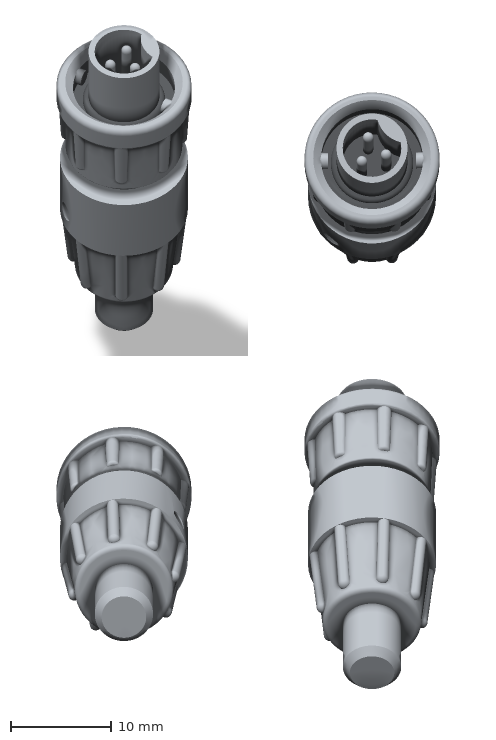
import cadquery as cq
import math

total_height = 39.45
cable_tip_height = 0.85
rear_grip_bottom = 7.04
sleeve_bottom = 15.95
sleeve_top = 23.57
front_grip_bottom = 25.29
collar_bottom = 32.28
collar_top = 34.88

cable_radius = 2.92
cable_tip_radius = 2.23
rear_grip_end_radius = 4.86
rear_grip_top_radius = 5.74
sleeve_radius = 6.4
neck_radius = 4.3
front_grip_end_radius = 5.84
front_grip_top_radius = 6.03
collar_radius = 6.755
plug_radius = 3.55

rear_grip_round = 0.5
front_grip_round = 0.15
collar_top_round = 0.55
collar_bottom_round = 0.25

recess_depth = 2.65
recess_radius = 5.1
recess_mouth_radius = 5.88
recess_floor = collar_top - recess_depth
foot_radius = 4.12
foot_height = 0.6
foot_round = foot_radius - plug_radius

peg_radius = 0.8
peg_inner_reach = 4.4
peg_axis_depth = 1.5
peg_axis_height = collar_top - peg_axis_depth
peg_embed = 0.5
peg_angles = (45, 225)

socket_radius = 2.93
socket_floor = recess_floor
key_radius = 3.13
key_tip_y = 1.99
pin_radius = 0.52
pin_circle_radius = 1.45
pin_tip_depth = 0.9
pin_tip_height = total_height - pin_tip_depth
pin_angles = (30, 150, 270)

rib_count = 8
rib_pitch = 360 / rib_count
rib_embed = 0.3
rear_rib_radius = 0.6
rear_rib_end_height = 8.55
rear_rib_top_offset = 5.78
rear_rib_end_offset = 5.05
front_rib_top_radius = 0.76
front_rib_end_radius = 0.65
front_rib_end_height = 26.82
front_rib_end_round = 0.33
front_rib_top_offset = 5.85
front_rib_end_offset = 5.66

hole_radius = 1.0
hole_depth = 0.8
hole_x = 0.43
hole_height = 18.33


def disc(bottom, top, radius):
    return cq.Workplane("XY", origin=(0, 0, bottom)).circle(radius).extrude(top - bottom)


def cone(bottom, top, bottom_radius, top_radius):
    cone_solid = cq.Solid.makeCone(bottom_radius, top_radius, top - bottom, cq.Vector(0, 0, bottom))
    return cq.Workplane(cone_solid)


def make_body():
    cable_tip = cone(0, cable_tip_height, cable_tip_radius, cable_radius)
    cable = disc(cable_tip_height, rear_grip_bottom, cable_radius)
    rear_grip = cone(rear_grip_bottom, sleeve_bottom, rear_grip_end_radius, rear_grip_top_radius)
    rear_grip = rear_grip.faces("<Z").edges().fillet(rear_grip_round)
    sleeve = disc(sleeve_bottom, sleeve_top, sleeve_radius)
    neck = disc(sleeve_top, front_grip_bottom, neck_radius)
    front_grip = cone(front_grip_bottom, collar_bottom, front_grip_end_radius, front_grip_top_radius)
    front_grip = front_grip.faces("<Z").edges().fillet(front_grip_round)
    collar = disc(collar_bottom, collar_top, collar_radius)
    collar = collar.faces(">Z").edges().fillet(collar_top_round)
    collar = collar.faces("<Z").edges().fillet(collar_bottom_round)
    body = cable_tip
    for section in (cable, rear_grip, sleeve, neck, front_grip, collar):
        body = body.union(section)
    return body


def make_rib(top_height, top_offset, top_radius, end_height, end_offset, end_radius, end_round):
    """Tapered round rib in the XZ plane, running down from top_height to a rounded end."""
    axis = cq.Vector(end_offset - top_offset, 0, end_height - top_height)
    length = axis.Length
    diagonal = end_round * math.cos(math.radians(45))
    shoulder = end_radius - end_round
    plane_normal = axis.cross(cq.Vector(0, -1, 0))
    profile_plane = cq.Plane((top_offset, 0, top_height), xDir=(0, 1, 0), normal=plane_normal)
    profile = (
        cq.Workplane(profile_plane)
        .lineTo(top_radius, 0)
        .lineTo(end_radius, length)
        .threePointArc((shoulder + diagonal, length + diagonal), (shoulder, length + end_round))
    )
    if shoulder > 0:
        profile = profile.lineTo(0, length + end_round)
    return profile.close().revolve(360, (0, 0), (0, 1))


def add_ribs(body, rib):
    for index in range(rib_count):
        body = body.union(rib.rotate((0, 0, 0), (0, 0, 1), rib_pitch * (index + 0.5)))
    return body


def cut_recess(body):
    mouth_depth = recess_mouth_radius - recess_radius
    mouth = cone(collar_top - mouth_depth, collar_top, recess_radius, recess_mouth_radius)
    return body.cut(disc(recess_floor, collar_top, recess_radius)).cut(mouth)


def add_pegs(body):
    length = recess_radius + peg_embed - peg_inner_reach
    peg = (
        cq.Workplane("YZ", origin=(peg_inner_reach, 0, peg_axis_height))
        .circle(peg_radius)
        .extrude(length)
    )
    for angle in peg_angles:
        body = body.union(peg.rotate((0, 0, 0), (0, 0, 1), angle))
    return body


def make_plug():
    foot = disc(recess_floor, recess_floor + foot_height, foot_radius)
    foot = foot.faces(">Z").edges().fillet(foot_round)
    plug = foot.union(disc(recess_floor, total_height, plug_radius))
    key = disc(socket_floor, total_height, key_radius).translate((0, key_tip_y + key_radius, 0))
    return plug.cut(disc(socket_floor, total_height, socket_radius).cut(key))


def add_pins(body):
    pin = disc(socket_floor, pin_tip_height - pin_radius, pin_radius)
    tip = cq.Workplane("XY", origin=(0, 0, pin_tip_height - pin_radius)).sphere(pin_radius)
    pin = pin.union(tip).translate((pin_circle_radius, 0, 0))
    for angle in pin_angles:
        body = body.union(pin.rotate((0, 0, 0), (0, 0, 1), angle))
    return body


def cut_sleeve_hole(body):
    hole = (
        cq.Workplane("XZ", origin=(hole_x, -sleeve_radius + hole_depth, hole_height))
        .circle(hole_radius)
        .extrude(hole_depth)
    )
    return body.cut(hole)


rear_rib = make_rib(
    sleeve_bottom + rib_embed, rear_rib_top_offset, rear_rib_radius,
    rear_rib_end_height, rear_rib_end_offset, rear_rib_radius, rear_rib_radius,
)
front_rib = make_rib(
    collar_bottom + rib_embed, front_rib_top_offset, front_rib_top_radius,
    front_rib_end_height, front_rib_end_offset, front_rib_end_radius, front_rib_end_round,
)

result = make_body()
result = add_ribs(result, rear_rib)
result = add_ribs(result, front_rib)
result = cut_recess(result)
result = add_pegs(result)
result = result.union(make_plug())
result = add_pins(result)
result = cut_sleeve_hole(result)